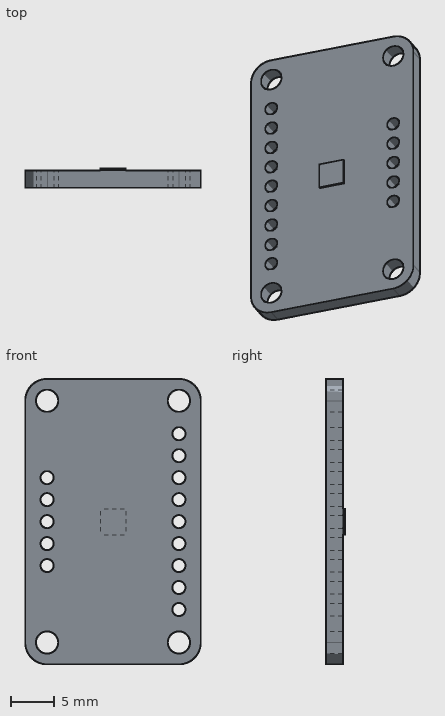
import cadquery as cq

height = 33.02
pitch = height / 13
width = 8 * pitch
board_thickness = 2.0
corner_radius = pitch

mount_diameter = 2.55
pin_diameter = 1.5
left_pin_count = 5
right_pin_count = 9

chip_side = 3.0
chip_thickness = 0.23

column_x = width / 2 - pitch
mount_z = height / 2 - pitch


def pin_column(x, count):
    """Evenly spaced pin centres, centred on the board's mid-height."""
    return [(x, (i - (count - 1) / 2) * pitch) for i in range(count)]


def drills(points, diameter):
    """Cylinders running through the board thickness, from Y = 0 towards +Y."""
    return (
        cq.Workplane("XZ")
        .pushPoints(points)
        .circle(diameter / 2)
        .extrude(-board_thickness)
    )


board = (
    cq.Workplane("XZ")
    .rect(width, height)
    .extrude(-board_thickness)
    .edges("|Y")
    .fillet(corner_radius)
)

mount_points = [(x, z) for x in (-column_x, column_x) for z in (-mount_z, mount_z)]
pin_points = pin_column(-column_x, left_pin_count) + pin_column(column_x, right_pin_count)
board = board.cut(drills(mount_points, mount_diameter))
board = board.cut(drills(pin_points, pin_diameter))

chip = (
    cq.Workplane("XZ", origin=(0, board_thickness, 0))
    .rect(chip_side, chip_side)
    .extrude(-chip_thickness)
)

result = board.union(chip)